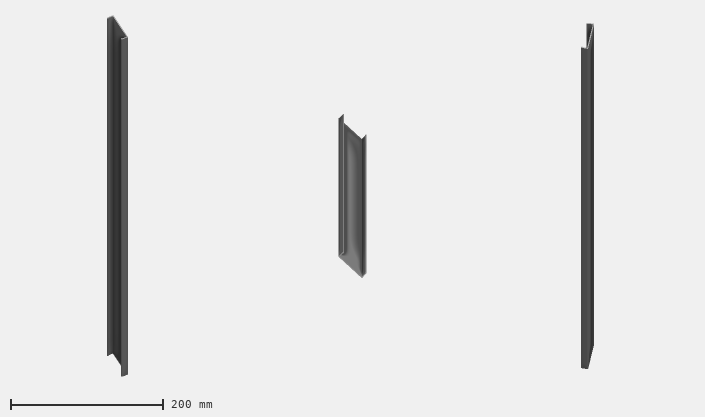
import cadquery as cq
import math

width = 42.95
depth = 9.74
length = 675.0

wall = 1.5
corner_radius = 1.0
draft = math.radians(1.5)
tip_radius = 1.2
tip_width = 1.5
barb_width = 2.4
lead_in = math.radians(30)

back_y = depth / 2
front_y = -depth / 2
web_inner_y = back_y - wall
barb_height = (barb_width - tip_width) / math.tan(lead_in)

corner_x = width / 2 - corner_radius
corner_y = back_y - corner_radius
flange_top_x = corner_x + corner_radius * math.cos(draft)
flange_top_y = corner_y - corner_radius * math.sin(draft)

tip_y = front_y + tip_radius * (1 - math.sin(draft) - math.cos(draft))
tip_x = flange_top_x - (flange_top_y - tip_y) * math.tan(draft)


def flange_point(inward, up):
    """Point on the +X flange, measured square to and along its outer face."""
    x = tip_x - inward * math.cos(draft) + up * math.sin(draft)
    y = tip_y + inward * math.sin(draft) + up * math.cos(draft)
    return x, y


def inner_corner():
    """Point where the inner face of the flange meets the inner face of the web."""
    x, y = flange_point(wall, 0)
    return x + (web_inner_y - y) * math.tan(draft), web_inner_y


def half_channel():
    """The +X half of the channel, from the mid-plane to the flange."""
    corner_mid_angle = (math.pi / 2 - draft) / 2
    corner_mid = (
        corner_x + corner_radius * math.cos(corner_mid_angle),
        corner_y + corner_radius * math.sin(corner_mid_angle),
    )
    tip_mid = tip_radius * (1 - math.sqrt(0.5))
    return (
        cq.Workplane("XY")
        .moveTo(0, back_y)
        .lineTo(corner_x, back_y)
        .threePointArc(corner_mid, (flange_top_x, flange_top_y))
        .lineTo(*flange_point(0, tip_radius))
        .threePointArc(flange_point(tip_mid, tip_mid), flange_point(tip_radius, 0))
        .lineTo(*flange_point(tip_width, 0))
        .lineTo(*flange_point(barb_width, barb_height))
        .lineTo(*flange_point(wall, barb_height))
        .lineTo(*inner_corner())
        .lineTo(0, web_inner_y)
        .close()
        .extrude(length / 2, both=True)
    )


right_half = half_channel()
result = right_half.union(right_half.mirror("YZ")).clean()